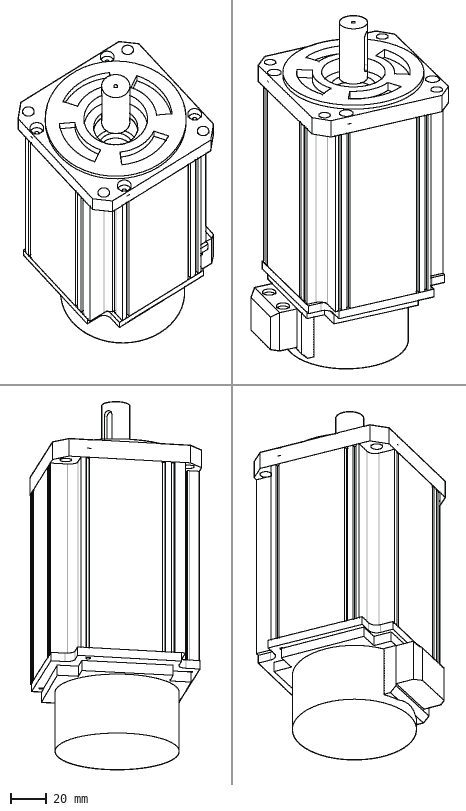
import cadquery as cq
import math


body_width = 86.0
half_width = body_width / 2
flange_thickness = 10.5
stator_length = 113.0
end_plate_thickness = 5.0
cover_base_thickness = 6.0
encoder_length = 35.0

stator_top = -flange_thickness
end_plate_top = stator_top - stator_length
cover_top = end_plate_top - end_plate_thickness
encoder_top = cover_top - cover_base_thickness

flange_chamfer = 8.0
pilot_diameter = 80.0
pilot_height = 2.5
bolt_circle_diameter = 100.0
bolt_hole_diameter = 6.5
recess_diameter = 36.0
recess_depth = 8.5
bore_diameter = 25.0
window_outer_radius = 32.2
window_inner_radius = 23.3
window_half_angle = 31.0
window_depth = 5.0

screw_circle_radius = 45.0
first_screw_angle = 59.0
screw_hole_diameter = 2.5
screw_head_diameter = 7.8
screw_head_depth = 5.0

shaft_diameter = 16.0
shaft_tip = pilot_height + 32.0
center_hole_diameter = 2.0
center_hole_depth = 5.0
shaft_inner_end = -1.0
key_width = 5.0
key_length = 25.0
key_depth = 3.0
key_tip_distance = 5.0
key_direction = 225.0

notch_radius = 5.0
shallow_notch = 10.7
deep_notch = 15.0
bearing_bore_depth = 15.0
shaft_bore_diameter = 19.8
shaft_bore_depth = 20.0
groove_width = 1.9
groove_depth = 2.0
groove_offsets = (-29.3, -24.0, 19.8, 25.1)
corner_slot_width = 1.2
corner_slot_x = 35.4
corner_slot_depth = 2.0

end_plate_notch = 13.0

encoder_x = 1.5
encoder_y = 3.75
encoder_diameter = 70.5
cover_twist = -0.8
cover_base_offset_x = -0.6
cover_base_offset_y = -0.35
cover_base_x = 77.0
cover_base_y = 75.2
cover_notch_x = 12.2
cover_notch_y = 11.1

lug_width = 40.0
lug_inner = 29.5
lug_outer = 37.3
lug_height = 29.7
lug_chamfer = 3.6
connector_x = 2.9
connector_width = 33.6
connector_outer = 52.24
connector_height = 24.7
connector_bevel_back = 4.0
connector_bevel_side = 3.7
cable_hole_diameter = 7.5
cable_hole_pitch = 18.5
cable_hole_x = 1.8
cable_hole_y = 43.1
cable_hole_depth = 2.0


def screw_points():
    """Screw positions, turned by a quarter turn from one to the next."""
    points = []
    for quarter in range(4):
        angle = math.radians(first_screw_angle + 90 * quarter)
        points.append((screw_circle_radius * math.cos(angle), screw_circle_radius * math.sin(angle)))
    return points


def screw_holes(top, depth):
    return (
        cq.Workplane("XY", origin=(0, 0, top)).pushPoints(screw_points())
        .circle(screw_hole_diameter / 2).extrude(-depth)
    )


def corner_notch(size_x, size_y, sign_x, sign_y, top, depth):
    """Cutter centred on one corner of the square section, rounded where it reaches into the body."""
    return (
        cq.Workplane("XY", origin=(sign_x * half_width, sign_y * half_width, top))
        .rect(2 * size_x, 2 * size_y).extrude(-depth).edges("|Z").fillet(notch_radius)
    )


def window(mid_angle):
    """Ring sector cutter sunk into the pilot face."""
    def point(radius, angle):
        turned = math.radians(mid_angle + angle)
        return (radius * math.cos(turned), radius * math.sin(turned))

    return (
        cq.Workplane("XY", origin=(0, 0, pilot_height))
        .moveTo(*point(window_inner_radius, -window_half_angle))
        .lineTo(*point(window_outer_radius, -window_half_angle))
        .threePointArc(point(window_outer_radius, 0), point(window_outer_radius, window_half_angle))
        .lineTo(*point(window_inner_radius, window_half_angle))
        .threePointArc(point(window_inner_radius, 0), point(window_inner_radius, -window_half_angle))
        .close().extrude(-window_depth)
    )


def make_flange():
    bolt_spacing = bolt_circle_diameter / math.sqrt(2)
    flange = (
        cq.Workplane("XY").rect(body_width, body_width).extrude(-flange_thickness)
        .edges("|Z").chamfer(flange_chamfer)
        .union(cq.Workplane("XY").circle(pilot_diameter / 2).extrude(pilot_height))
    )
    flange = flange.faces(">Z").workplane().cboreHole(bore_diameter, recess_diameter, recess_depth)
    bolt_holes = (
        cq.Workplane("XY").rect(bolt_spacing, bolt_spacing, forConstruction=True).vertices()
        .circle(bolt_hole_diameter / 2).extrude(-flange_thickness)
    )
    screw_heads = (
        cq.Workplane("XY").pushPoints(screw_points())
        .circle(screw_head_diameter / 2).extrude(-screw_head_depth)
    )
    flange = flange.cut(bolt_holes).cut(screw_heads).cut(screw_holes(0, flange_thickness))
    for quarter in range(4):
        flange = flange.cut(window(90 * quarter))
    return flange


def make_shaft():
    radius = shaft_diameter / 2
    shaft = (
        cq.Workplane("XY", origin=(0, 0, shaft_inner_end))
        .circle(radius).extrude(shaft_tip - shaft_inner_end)
    )
    center_hole = (
        cq.Workplane("XY", origin=(0, 0, shaft_tip))
        .circle(center_hole_diameter / 2).extrude(-center_hole_depth)
    )
    keyway = (
        cq.Workplane("YZ", origin=(radius - key_depth, 0, shaft_tip - key_tip_distance - key_length / 2))
        .slot2D(key_length, key_width, 90).extrude(radius)
        .rotate((0, 0, 0), (0, 0, 1), key_direction)
    )
    return shaft.cut(center_hole).cut(keyway)


def make_stator():
    stator = (
        cq.Workplane("XY", origin=(0, 0, stator_top))
        .rect(body_width, body_width).extrude(-stator_length)
    )
    grooves = (
        cq.Workplane("XY", origin=(0, -half_width, stator_top))
        .pushPoints([(offset, 0) for offset in groove_offsets])
        .rect(groove_width, 2 * groove_depth).extrude(-stator_length)
    )
    for quarter in range(4):
        stator = stator.cut(grooves.rotate((0, 0, 0), (0, 0, 1), 90 * quarter))
    for sign_x in (-1, 1):
        for sign_y in (-1, 1):
            size_x = shallow_notch if (sign_x, sign_y) == (1, -1) else deep_notch
            size_y = shallow_notch if (sign_x, sign_y) == (-1, 1) else deep_notch
            stator = stator.cut(corner_notch(size_x, size_y, sign_x, sign_y, stator_top, stator_length))
    slot_end = -half_width + deep_notch + corner_slot_depth
    corner_slot = (
        cq.Workplane("XY", origin=(corner_slot_x, slot_end - notch_radius, stator_top))
        .rect(corner_slot_width, 2 * notch_radius).extrude(-stator_length)
    )
    for diameter, depth in ((bore_diameter, bearing_bore_depth), (shaft_bore_diameter, shaft_bore_depth)):
        stator = stator.cut(
            cq.Workplane("XY", origin=(0, 0, stator_top)).circle(diameter / 2).extrude(-depth)
        )
    return stator.cut(corner_slot).cut(screw_holes(stator_top, stator_length))


def make_end_plate():
    plate = (
        cq.Workplane("XY", origin=(0, 0, end_plate_top))
        .rect(body_width, body_width).extrude(-end_plate_thickness)
    )
    for sign_x in (-1, 1):
        for sign_y in (-1, 1):
            notch = corner_notch(
                end_plate_notch, end_plate_notch, sign_x, sign_y, end_plate_top, end_plate_thickness
            )
            plate = plate.cut(notch)
    return plate.cut(screw_holes(end_plate_top, end_plate_thickness))


def make_connector():
    """Cable outlet block, beveled along its outer top edge and both outer upright edges."""
    half = connector_width / 2
    shoulder_y = connector_outer - connector_bevel_back
    plan = (
        cq.Workplane("XY", origin=(connector_x, 0, encoder_top))
        .polyline([
            (-half, lug_inner),
            (half, lug_inner),
            (half, shoulder_y),
            (half - connector_bevel_side, connector_outer),
            (-half + connector_bevel_side, connector_outer),
            (-half, shoulder_y),
        ])
        .close().extrude(-connector_height)
    )
    side = (
        cq.Workplane("YZ", origin=(connector_x, 0, encoder_top))
        .polyline([
            (lug_inner, 0),
            (shoulder_y, 0),
            (connector_outer, -connector_bevel_side),
            (connector_outer, -connector_height),
            (lug_inner, -connector_height),
        ])
        .close().extrude(half, both=True)
    )
    return plan.intersect(side)


def make_rear_cover():
    base_outline = cq.Workplane("XY", origin=(cover_base_offset_x, cover_base_offset_y, cover_top))
    base = base_outline.rect(cover_base_x, cover_base_y - 2 * cover_notch_y).extrude(-cover_base_thickness)
    base = base.union(
        base_outline.rect(cover_base_x - 2 * cover_notch_x, cover_base_y).extrude(-cover_base_thickness)
    )
    encoder = (
        cq.Workplane("XY", origin=(0, 0, encoder_top))
        .circle(encoder_diameter / 2).extrude(-encoder_length)
    )
    lug = (
        cq.Workplane("XY", origin=(0, 0, encoder_top))
        .center(0, lug_outer / 2).rect(lug_width, lug_outer).extrude(-lug_height)
        .edges(">Y and <Z").chamfer(lug_chamfer)
    )
    lug = lug.cut(
        cq.Workplane("XY", origin=(0, lug_inner / 2, encoder_top))
        .rect(2 * lug_width, lug_inner).extrude(-lug_height)
    )
    cable_holes = (
        cq.Workplane("XY", origin=(cable_hole_x, cable_hole_y, encoder_top))
        .pushPoints([(-cable_hole_pitch / 2, 0), (cable_hole_pitch / 2, 0)])
        .circle(cable_hole_diameter / 2).extrude(-cable_hole_depth)
    )
    cover = base.union(encoder).union(lug).union(make_connector()).cut(cable_holes)
    return cover.rotate((0, 0, 0), (0, 0, 1), cover_twist).translate((encoder_x, encoder_y, 0))


flange = make_flange()
shaft = make_shaft()
stator = make_stator()
end_plate = make_end_plate()
rear_cover = make_rear_cover()

result = cq.Compound.makeCompound([
    flange.val(),
    shaft.val(),
    stator.val(),
    end_plate.val(),
    rear_cover.val(),
])